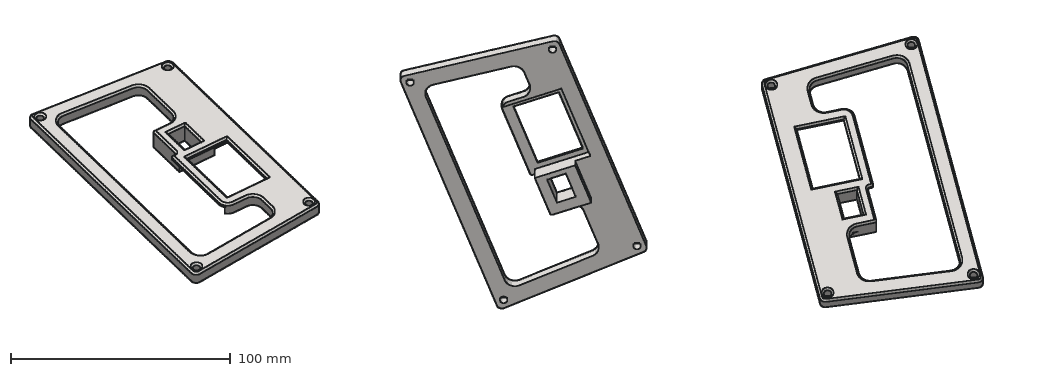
import cadquery as cq
import math

overall_width = 131.5
plate_depth = 74.7
plate_thickness = 6.0
side_angle = math.radians(5)
corner_radius = 2.5
top_chamfer = 0.99

frame_width = 8.0
opening_back = 17.1
opening_radius = 5.0
small_radius = 1.0

tongue_left = -24.6
tongue_right = 36.6
tongue_step = -6.0
tongue_front_left = 3.0
tongue_front_right = 0.1

small_window = (-19.2, -6.2, 8.0, 17.1)
large_window = (-0.8, 31.0, 5.4, 27.4)

boss_height = 4.0
boss_right = -3.4
boss_back = 22.6
lip_thickness = 2.1
recess_margin = 2.6
recess_right = 34.7

hole_diameter = 3.4
hole_y = 33.4
back_hole_x = 55.6
front_hole_x = 61.5

front_y = -plate_depth / 2
back_y = plate_depth / 2
cut_height = plate_thickness + boss_height

sharp_front_half_width = overall_width / 2 + corner_radius * (
    1 / math.cos(side_angle) + math.tan(side_angle) - 1
)


def side_x(y):
    """Distance of the sloped plate side from the centre line at a given Y."""
    return sharp_front_half_width - (y - front_y) * math.tan(side_angle)


def inner_side_x(y):
    """Distance of the sloped opening side from the centre line at a given Y."""
    return side_x(y) - frame_width / math.cos(side_angle)


def rounded_prism(corners, bottom, height):
    """Extrude a polygon given as (x, y, radius), rounding each corner that has a radius."""
    outline = [(x, y) for x, y, radius in corners]
    prism = cq.Workplane("XY").workplane(offset=bottom).polyline(outline).close().extrude(height)
    for x, y, radius in corners:
        if radius > 0:
            corner_edge = cq.selectors.NearestToPointSelector((x, y, bottom + height / 2))
            prism = prism.edges("|Z").edges(corner_edge).fillet(radius)
    return prism


def block(left, right, front, back, bottom, height):
    """Rectangular block given by its limits."""
    size = (right - left, back - front, height)
    return cq.Workplane("XY").box(*size, centered=False).translate((left, front, bottom))


def make_plate():
    corners = [
        (-side_x(front_y), front_y, corner_radius),
        (side_x(front_y), front_y, corner_radius),
        (side_x(back_y), back_y, corner_radius),
        (-side_x(back_y), back_y, corner_radius),
    ]
    return rounded_prism(corners, 0, plate_thickness)


def make_opening():
    opening_front = front_y + frame_width
    front_x = inner_side_x(opening_front)
    back_x = inner_side_x(opening_back)
    corners = [
        (-front_x, opening_front, opening_radius),
        (front_x, opening_front, opening_radius),
        (back_x, opening_back, opening_radius),
        (tongue_right, opening_back, opening_radius),
        (tongue_right, tongue_front_right, opening_radius),
        (tongue_step, tongue_front_right, small_radius),
        (tongue_step, tongue_front_left, small_radius),
        (tongue_left, tongue_front_left, small_radius),
        (tongue_left, opening_back, opening_radius),
        (-back_x, opening_back, opening_radius),
    ]
    return rounded_prism(corners, 0, plate_thickness)


def make_boss():
    corners = [
        (tongue_left, tongue_front_left, small_radius),
        (boss_right, tongue_front_left, 0),
        (boss_right, boss_back, 0),
        (tongue_left, boss_back, 0),
    ]
    return rounded_prism(corners, -boss_height, boss_height)


def make_recess():
    """Pocket from below, open at the front, leaving a thin lip around the large window."""
    recess_back = large_window[3] + recess_margin
    pocket_depth = plate_thickness - lip_thickness
    pocket = block(boss_right, recess_right, tongue_front_right, recess_back, 0, pocket_depth)
    front_left = tongue_step - small_radius
    front_strip = block(front_left, boss_right, tongue_front_right, tongue_front_left, 0, pocket_depth)
    return pocket.union(front_strip)


plate = make_plate().cut(make_opening())

for window in (small_window, large_window):
    plate = plate.cut(block(*window, 0, plate_thickness))

hole_centers = [
    (side * x, y)
    for side in (-1, 1)
    for x, y in ((back_hole_x, hole_y), (front_hole_x, -hole_y))
]
holes = cq.Workplane("XY").pushPoints(hole_centers).circle(hole_diameter / 2).extrude(plate_thickness)
plate = plate.cut(holes)

plate = plate.faces(">Z").edges().chamfer(top_chamfer)

boss = make_boss().cut(block(*small_window, -boss_height, cut_height))
result = plate.cut(make_recess()).union(boss)